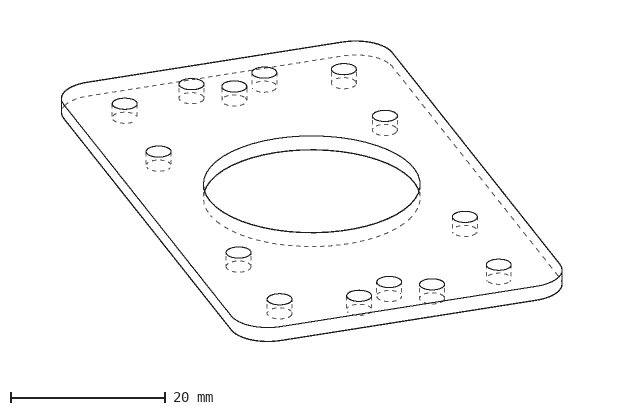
import cadquery as cq

length = 75.0
width = 45.0
thickness = 2.0
corner_radius = 5.0

bore_diameter = 28.0
screw_hole_diameter = 3.2
motor_hole_spacing = 31.0
end_column_x = 30.0
end_column_pitch = 15.0
outer_pair_x = 32.5
outer_pair_spacing = 10.0

motor_holes = [
    (x_side * motor_hole_spacing / 2, y_side * motor_hole_spacing / 2)
    for x_side in (-1, 1)
    for y_side in (-1, 1)
]
column_holes = [
    (x_side * end_column_x, row * end_column_pitch)
    for x_side in (-1, 1)
    for row in (-1, 0, 1)
]
pair_holes = [
    (x_side * outer_pair_x, y_side * outer_pair_spacing / 2)
    for x_side in (-1, 1)
    for y_side in (-1, 1)
]

plate = cq.Workplane("XY").box(length, width, thickness)
plate = plate.edges("|Z").fillet(corner_radius)

plate = plate.faces(">Z").workplane().hole(bore_diameter)
result = (
    plate.faces(">Z")
    .workplane(origin=(0, 0, 0))
    .pushPoints(motor_holes + column_holes + pair_holes)
    .hole(screw_hole_diameter)
)